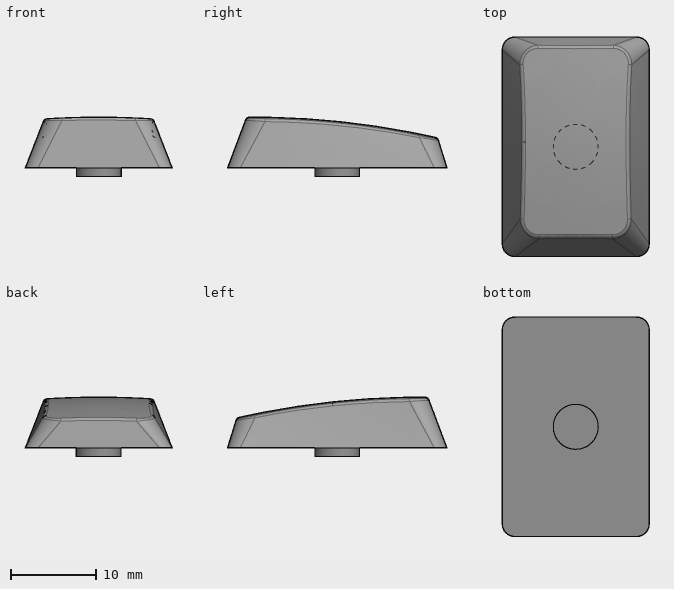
import cadquery as cq
import math

base_width = 17.3
base_length = 25.82
base_corner_radius = 1.5

rim_width = 11.4
rim_corner_radius = 2.58
rim_front_y = -9.91
rim_front_z = 7.95
rim_back_y = 11.46
rim_back_z = 4.7

cap_height = 6.0
dome_radius = 96.82
dome_apex_y = -9.8
dome_pole_y = 0.57
dome_disc_radius = 23.25
dome_disc_depth = 15.5
top_edge_radius = 0.52

stem_diameter = 5.3
stem_height = 1.0


def rounded_rectangle(plane, width, length, radius):
    """Wire of a rounded rectangle centred on the plane's origin."""
    sketch = cq.Sketch().rect(width, length).vertices().fillet(radius)
    return cq.Workplane(plane).placeSketch(sketch)._getFaces()[0].outerWire()


def tapered_body():
    """Straight walls running from the flat base to the tilted rim."""
    run = rim_back_y - rim_front_y
    rise = rim_back_z - rim_front_z
    rim_plane = cq.Plane(
        origin=(0, (rim_front_y + rim_back_y) / 2, (rim_front_z + rim_back_z) / 2),
        xDir=(1, 0, 0),
        normal=(0, -rise, run),
    )
    base = rounded_rectangle(cq.Plane.XY(), base_width, base_length, base_corner_radius)
    rim = rounded_rectangle(rim_plane, rim_width, math.hypot(run, rise), rim_corner_radius)
    return cq.Workplane(cq.Solid.makeLoft([base, rim], True))


def dome():
    """Shallow disc under a spherical surface, turned about an axis through the middle of the top."""
    lean = math.asin((dome_pole_y - dome_apex_y) / dome_radius)
    half_angle = math.asin(dome_disc_radius / dome_radius)
    edge_height = dome_radius * math.cos(half_angle)
    floor_height = dome_radius - dome_disc_depth
    mid_arc = (dome_radius * math.sin(half_angle / 2), dome_radius * math.cos(half_angle / 2))
    axis_plane = cq.Plane(
        origin=(0, dome_apex_y, cap_height - dome_radius),
        xDir=(-1, 0, 0),
        normal=(0, math.cos(lean), -math.sin(lean)),
    )
    return (
        cq.Workplane(axis_plane)
        .moveTo(0, floor_height)
        .lineTo(dome_disc_radius, floor_height)
        .lineTo(dome_disc_radius, edge_height)
        .threePointArc(mid_arc, (0, dome_radius))
        .close()
        .revolve(360, (0, 0), (0, 1))
    )


cap = tapered_body().intersect(dome())
cap = cap.faces("%SPHERE").edges().fillet(top_edge_radius)

stem = cq.Workplane().circle(stem_diameter / 2).extrude(-stem_height)

result = cap.union(stem)